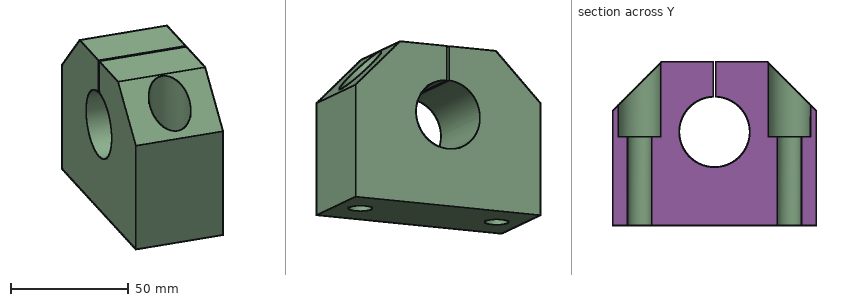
import cadquery as cq

width = 87.0
depth = 40.0
height = 70.0
corner_chamfer = 21.0

bore_diameter = 30.0
bore_height = 40.0
slit_width = 1.0

screw_spacing = 64.0
screw_diameter = 10.3
counterbore_diameter = 18.0
counterbore_floor = 38.0


def make_block():
    """Block centred on X and Y, standing on Z = 0, with both top corners bevelled."""
    block = cq.Workplane("XY").box(width, depth, height, centered=(True, True, False))
    return block.faces(">Z").edges("|Y").chamfer(corner_chamfer)


def make_bore():
    """Shaft bore running through the block along Y."""
    return (
        cq.Workplane("XZ")
        .center(0, bore_height)
        .circle(bore_diameter / 2)
        .extrude(depth / 2, both=True)
    )


def make_slit():
    """Clamping slit from the bore up through the top face."""
    return (
        cq.Workplane("XY")
        .workplane(offset=bore_height)
        .rect(slit_width, depth)
        .extrude(height - bore_height)
    )


def make_screw_hole(x):
    """Vertical through hole with a counterbore that opens on the bevelled corner."""
    shank = cq.Workplane("XY").center(x, 0).circle(screw_diameter / 2).extrude(height)
    counterbore = (
        cq.Workplane("XY")
        .workplane(offset=counterbore_floor)
        .center(x, 0)
        .circle(counterbore_diameter / 2)
        .extrude(height - counterbore_floor)
    )
    return shank.union(counterbore)


result = make_block().cut(make_bore()).cut(make_slit())
for side in (-1, 1):
    result = result.cut(make_screw_hole(side * screw_spacing / 2))